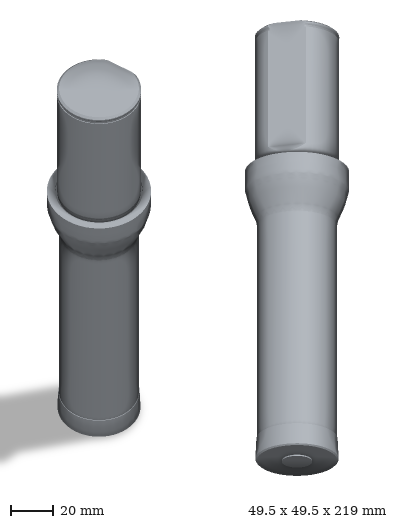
import cadquery as cq
import math

grip_radius = 37.9 / 2
base_radius = 39.5 / 2
collar_radius = 49.5 / 2
boss_radius = 7.2
boss_height = 0.7
base_edge = 0.7
base_top = 11.8
base_top_radius = 19.3
base_middle = (boss_height + base_edge + base_top) / 2
base_bulge = 0.1
base_middle_radius = (base_radius + base_top_radius) / 2 + base_bulge
flare_bottom = 121.0
flare_top = 144.0
collar_top = 149.0
recess_radius = 20.8
recess_depth = 1.0
recess_floor = collar_top - recess_depth
flare_radius = 39.5

head_radius = 40.0 / 2
neck_radius = 39.5 / 2
head_top_radius = 37.9 / 2
head_top = 219.0
head_bottom = 151.0
head_edge_bottom = 149.5
top_groove_bottom = 215.5
top_groove_top = 216.5
rim_bottom = 217.5
rim_top = 218.1
flat_offset = 17.7
flat_bottom = 155.7
runout_angle = 60

flare_width = collar_radius - grip_radius
flare_height = flare_top - flare_bottom
radius_sum = (flare_width**2 + flare_height**2) / (2 * flare_width)
flare_angle = math.asin(flare_height / radius_sum)
fillet_radius = radius_sum - flare_radius


def convex_point(angle):
    """Point on the upper flare arc, at an angle below its top."""
    return (
        collar_radius - flare_radius * (1 - math.cos(angle)),
        flare_top - flare_radius * math.sin(angle),
    )


def concave_point(angle):
    """Point on the lower flare arc, at an angle above its bottom."""
    return (
        grip_radius + fillet_radius * (1 - math.cos(angle)),
        flare_bottom + fillet_radius * math.sin(angle),
    )


def make_handle():
    flare_points = [
        concave_point(flare_angle / 2),
        concave_point(flare_angle),
        convex_point(flare_angle * 2 / 3),
        convex_point(flare_angle / 3),
        (collar_radius, flare_top),
    ]
    profile = (
        cq.Workplane("XZ")
        .lineTo(boss_radius, 0)
        .lineTo(boss_radius, boss_height)
        .lineTo(base_radius - base_edge, boss_height)
        .lineTo(base_radius, boss_height + base_edge)
        .threePointArc((base_middle_radius, base_middle), (base_top_radius, base_top))
        .lineTo(grip_radius, base_top)
        .lineTo(grip_radius, flare_bottom)
        .spline(flare_points, tangents=[(0, 1), (0, 1)], includeCurrent=True)
        .lineTo(collar_radius, collar_top)
        .lineTo(recess_radius, collar_top)
        .lineTo(recess_radius, recess_floor)
        .lineTo(0, recess_floor)
        .close()
    )
    return profile.revolve(360, (0, 0), (0, 1))


def make_flat_cutter():
    """Block beyond the flat, with a sloping run-out at its lower end."""
    reach = 2 * head_radius - flat_offset
    depth = (reach - flat_offset) * math.tan(math.radians(runout_angle))
    return (
        cq.Workplane("YZ")
        .polyline([
            (flat_offset, head_top),
            (flat_offset, flat_bottom),
            (reach, flat_bottom - depth),
            (reach, head_top),
        ])
        .close()
        .extrude(head_radius, both=True)
    )


def make_head():
    profile = (
        cq.Workplane("XZ")
        .moveTo(0, recess_floor)
        .lineTo(neck_radius, recess_floor)
        .lineTo(neck_radius, head_edge_bottom)
        .lineTo(head_radius, head_bottom)
        .lineTo(head_radius, top_groove_bottom)
        .lineTo(neck_radius, top_groove_bottom)
        .lineTo(neck_radius, top_groove_top)
        .lineTo(head_radius, rim_bottom)
        .lineTo(head_radius, rim_top)
        .lineTo(head_top_radius, head_top)
        .lineTo(0, head_top)
        .close()
    )
    return profile.revolve(360, (0, 0), (0, 1)).cut(make_flat_cutter())


handle = make_handle()
head = make_head()
result = cq.Compound.makeCompound([handle.val(), head.val()])